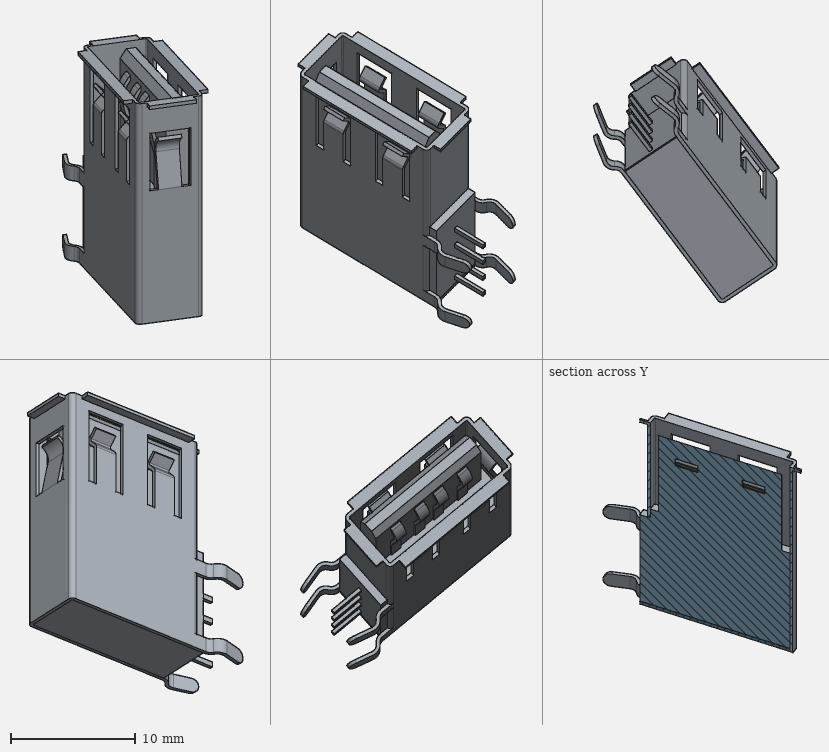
import cadquery as cq
import math

HEIGHT = 19.2
SHELL_X = 13.11
SHELL_Y = 5.7
SHEET = 0.3
CORNER_RADIUS = 0.42
INNER_CORNER_RADIUS = CORNER_RADIUS - SHEET
INNER_X = SHELL_X - 2 * SHEET
INNER_Y = SHELL_Y - 2 * SHEET

FLANGE_SPAN_X = 14.48
FLANGE_SPAN_Y = 7.2
LONG_FLANGE = 11.02
SHORT_FLANGE = 4.0

SLOT_BOTTOM = 11.52
SLOT_TOP = 18.07
SLOT_WIDTH = 3.5
ARM_WIDTH = 2.0
ARM_SPACING = 6.03
ARM_XS = (-ARM_SPACING / 2, ARM_SPACING / 2)
ARM_BEND_Z = 15.15
ARM_DEPTH = 0.77
ARM_BEND_ANGLE = math.radians(45)
ARM_BEND_RADIUS = 0.1
ARM_VALLEY_RADIUS = 0.15

END_SLOT_TOP = 16.51
CURL_RADIUS = 1.35
CURL_DEPTH = 0.96
CURL_Z = 14.78
CURL_TIP_TILT = math.radians(22)

TAB_HEIGHT = 1.29
UPPER_TAB_Z = 6.99
TAB_TIP_X = -10.96
TAB_BEND_X = -7.3
TAB_ROOT_X = -6.07
TAB_BEND_ANGLE = math.radians(57)
TAB_RETURN_ANGLE = math.radians(14.5)
TAB_INNER_BEND = 0.63
TAB_OUTER_BEND = 0.96

FLOOR_Z = 10.27
BLOCK_TOP = 9.33
BLOCK_FACE_X = -FLANGE_SPAN_X / 2
TONGUE_LENGTH = 11.14
TONGUE_Y = 1.9
TONGUE_TOP = 18.85
TONGUE_CHAMFER_Y = 0.54
TONGUE_CHAMFER_Z = 0.77
ARM_RECESS_DEPTH = 0.1
ARM_RECESS_HEIGHT = 0.65

CONTACT_WIDTH = 1.02
CONTACT_SHEET = 0.3
CONTACT_XS = (-3.51, -1.0, 1.0, 3.51)
CONTACT_TOP = 17.6
CONTACT_BULGE_Z = 15.94
CONTACT_BULGE_Y = -0.77
CONTACT_BULGE_RADIUS = 2.19
CONTACT_TIP_ANGLE = math.radians(42)
CONTACT_SLOPE_ANGLE = math.radians(14)
CONTACT_FOOT_Z = 13.13

PIN_TIP_X = -10.12
PIN_Y = 0.3
PIN_Z = 0.46
PIN_COUNT = 4
LOWEST_PIN_Z = 1.1
PIN_PITCH = 2.02


def box(x_range, y_range, z_range):
    """Axis-aligned block between the given limits."""
    sizes = [high - low for low, high in (x_range, y_range, z_range)]
    return cq.Workplane("XY").box(*sizes, centered=False).translate(
        (x_range[0], y_range[0], z_range[0])
    )


def centred(width, middle=0.0):
    """Limits of a width centred on a middle."""
    return (middle - width / 2, middle + width / 2)


def around(centre, radius, angle):
    """Point on a circle in a 2D plane."""
    return (centre[0] + radius * math.cos(angle), centre[1] + radius * math.sin(angle))


def tube():
    outer = cq.Workplane("XY").rect(SHELL_X, SHELL_Y).extrude(HEIGHT).edges("|Z").fillet(CORNER_RADIUS)
    inner = cq.Workplane("XY").rect(INNER_X, INNER_Y).extrude(HEIGHT).edges("|Z").fillet(INNER_CORNER_RADIUS)
    return outer.cut(inner)


def flanges():
    rim = (HEIGHT - SHEET, HEIGHT)
    along_y = box(centred(LONG_FLANGE), centred(FLANGE_SPAN_Y), rim)
    along_x = box(centred(FLANGE_SPAN_X), centred(SHORT_FLANGE), rim)
    mouth = box(centred(INNER_X), centred(INNER_Y), rim)
    return along_y.union(along_x).cut(mouth)


def bent_arm():
    """Arm with a 45-degree V bend, centred on X = 0, its outer face on Y = 0 and the inside toward +Y."""
    miter = SHEET * math.tan(ARM_BEND_ANGLE / 2)
    diagonal = SHEET * math.sqrt(2)
    half_diagonal = diagonal / 2
    valley_z = ARM_BEND_Z + ARM_DEPTH
    tip_z = valley_z + ARM_DEPTH
    outer_bend = (0, ARM_BEND_Z)
    outer_valley = (ARM_DEPTH, valley_z)
    inner_valley = (ARM_DEPTH + diagonal, valley_z)
    inner_bend = (SHEET, ARM_BEND_Z - miter)
    arm = (
        cq.Workplane("YZ")
        .polyline([
            (0, SLOT_BOTTOM),
            outer_bend,
            outer_valley,
            (0, tip_z),
            (half_diagonal, tip_z + half_diagonal),
            inner_valley,
            inner_bend,
            (SHEET, SLOT_BOTTOM),
        ])
        .close()
        .extrude(ARM_WIDTH / 2, both=True)
    )
    bends = [
        (outer_bend, ARM_BEND_RADIUS + SHEET),
        (inner_bend, ARM_BEND_RADIUS),
        (outer_valley, ARM_VALLEY_RADIUS),
        (inner_valley, ARM_VALLEY_RADIUS + SHEET),
    ]
    for (y, z), radius in bends:
        arm = arm.edges(cq.selectors.NearestToPointSelector((0, y, z))).fillet(radius)
    return arm


def curled_arm():
    """Arm leaning inward and curling back over the top, in the same position as the bent arm."""
    centre = (CURL_DEPTH - CURL_RADIUS, CURL_Z)
    hollow = CURL_RADIUS - SHEET
    tip_angle = math.pi / 2 - CURL_TIP_TILT
    lean = math.atan2(CURL_DEPTH - SHEET, CURL_Z - SLOT_BOTTOM)
    return (
        cq.Workplane("YZ")
        .moveTo(0, SLOT_BOTTOM)
        .lineTo(*around(centre, hollow, -lean))
        .threePointArc(around(centre, hollow, (tip_angle - lean) / 2), around(centre, hollow, tip_angle))
        .lineTo(*around(centre, CURL_RADIUS, tip_angle))
        .threePointArc(
            around(centre, CURL_RADIUS, (tip_angle - lean) / 2), around(centre, CURL_RADIUS, -lean)
        )
        .lineTo(SHEET, SLOT_BOTTOM)
        .close()
        .extrude(ARM_WIDTH / 2, both=True)
    )


def slot(top):
    """Window around an arm, in the same position as the arm."""
    return box(centred(SLOT_WIDTH), (0, SHEET), (SLOT_BOTTOM, top))


def on_walls(long_wall_feature, end_wall_feature):
    """Copies of a feature on each place of an arm: two in each long wall, one in the +X wall."""
    copies = []
    for x in ARM_XS:
        front = long_wall_feature.translate((x, -SHELL_Y / 2, 0))
        copies += [front, front.mirror("XZ")]
    copies.append(end_wall_feature.translate((0, -SHELL_X / 2, 0)).rotate((0, 0, 0), (0, 0, 1), 90))
    return copies


def solder_tab():
    """Lower tab on the -Y wall: straight root, S bend outward, then a return to a rounded tip."""
    wall_y = SHELL_Y / 2
    first = (TAB_BEND_X, wall_y + TAB_INNER_BEND)
    reach = TAB_INNER_BEND + TAB_OUTER_BEND
    first_end = -math.pi / 2 - TAB_BEND_ANGLE
    first_middle = -math.pi / 2 - TAB_BEND_ANGLE / 2
    second = around(first, reach, first_end)
    second_start = math.pi / 2 - TAB_BEND_ANGLE
    second_end = math.pi / 2 + TAB_RETURN_ANGLE
    second_middle = (second_start + second_end) / 2
    inner_bend = TAB_INNER_BEND + SHEET
    outer_bend = TAB_OUTER_BEND - SHEET

    def tip(radius):
        x, y = around(second, radius, second_end)
        return (TAB_TIP_X, y - (x - TAB_TIP_X) * math.tan(TAB_RETURN_ANGLE))

    strip = (
        cq.Workplane("XY")
        .moveTo(TAB_ROOT_X, wall_y)
        .lineTo(TAB_BEND_X, wall_y)
        .threePointArc(
            around(first, TAB_INNER_BEND, first_middle), around(first, TAB_INNER_BEND, first_end)
        )
        .threePointArc(
            around(second, TAB_OUTER_BEND, second_middle), around(second, TAB_OUTER_BEND, second_end)
        )
        .lineTo(*tip(TAB_OUTER_BEND))
        .lineTo(*tip(outer_bend))
        .lineTo(*around(second, outer_bend, second_end))
        .threePointArc(
            around(second, outer_bend, second_middle), around(second, outer_bend, second_start)
        )
        .threePointArc(around(first, inner_bend, first_middle), (TAB_BEND_X, wall_y - SHEET))
        .lineTo(TAB_ROOT_X, wall_y - SHEET)
        .close()
        .extrude(TAB_HEIGHT)
        .mirror("XZ")
    )
    end_radius = TAB_HEIGHT / 2
    end_x = TAB_TIP_X + end_radius
    straight = box((end_x, TAB_ROOT_X), (-FLANGE_SPAN_Y, 0), (0, TAB_HEIGHT))
    rounded_end = cq.Workplane("XZ").center(end_x, end_radius).circle(end_radius).extrude(FLANGE_SPAN_Y)
    return strip.intersect(straight.union(rounded_end))


def build_shell():
    shell = tube().union(flanges())
    for window in on_walls(slot(SLOT_TOP), slot(END_SLOT_TOP)):
        shell = shell.cut(window)
    for arm in on_walls(bent_arm(), curled_arm()):
        shell = shell.union(arm)
    opening_end_x = -INNER_X / 2 + INNER_CORNER_RADIUS
    shell = shell.cut(box((BLOCK_FACE_X, opening_end_x), centred(INNER_Y), (0, BLOCK_TOP)))
    for z in (0, UPPER_TAB_Z):
        tab = solder_tab().translate((0, 0, z))
        shell = shell.union(tab).union(tab.mirror("XZ"))
    return shell


def tongue():
    """Chamfered tongue, recessed on +Y where the bends of the spring arms reach into it."""
    blade = (
        box(centred(TONGUE_LENGTH), (0, TONGUE_Y), (FLOOR_Z, TONGUE_TOP))
        .faces(">Z")
        .edges("|X")
        .chamfer(TONGUE_CHAMFER_Z, TONGUE_CHAMFER_Y)
    )
    recess_y = (TONGUE_Y - ARM_RECESS_DEPTH, TONGUE_Y)
    recess_z = centred(ARM_RECESS_HEIGHT, ARM_BEND_Z + ARM_DEPTH)
    for x in ARM_XS:
        blade = blade.cut(box(centred(ARM_WIDTH, x), recess_y, recess_z))
    return blade


def contact(x):
    """Strip on the tongue: bevelled tip, bulge that stands clear, slope, then a flat foot."""
    centre = (CONTACT_BULGE_Y + CONTACT_BULGE_RADIUS, CONTACT_BULGE_Z)
    slope = math.tan(CONTACT_SLOPE_ANGLE)
    bulge_end = math.pi + CONTACT_SLOPE_ANGLE
    bulge_bottom = around(centre, CONTACT_BULGE_RADIUS, bulge_end)
    foot_y = bulge_bottom[0] + (bulge_bottom[1] - CONTACT_FOOT_Z) * slope
    strip = (
        cq.Workplane("YZ")
        .moveTo(0, CONTACT_TOP)
        .lineTo(*around(centre, CONTACT_BULGE_RADIUS, math.pi - CONTACT_TIP_ANGLE))
        .threePointArc((CONTACT_BULGE_Y, CONTACT_BULGE_Z), bulge_bottom)
        .lineTo(foot_y, CONTACT_FOOT_Z)
        .lineTo(foot_y, FLOOR_Z)
        .lineTo(0, FLOOR_Z)
        .close()
        .extrude(CONTACT_WIDTH / 2, both=True)
    )
    gap_radius = CONTACT_BULGE_RADIUS - CONTACT_SHEET
    gap_bend = around(centre, gap_radius, bulge_end)
    gap = (
        cq.Workplane("YZ")
        .moveTo(0, centre[1] + math.sqrt(gap_radius**2 - centre[0] ** 2))
        .threePointArc((centre[0] - gap_radius, centre[1]), gap_bend)
        .lineTo(0, gap_bend[1] + gap_bend[0] / slope)
        .close()
        .extrude(CONTACT_WIDTH / 2, both=True)
    )
    return strip.cut(gap).translate((x, 0, 0))


def build_insulator():
    core = box(centred(INNER_X), centred(INNER_Y), (SHEET, FLOOR_Z)).edges("|Z").fillet(INNER_CORNER_RADIUS)
    block = box((BLOCK_FACE_X, 0), centred(INNER_Y), (SHEET, BLOCK_TOP))
    insulator = core.union(block).union(tongue())
    for x in CONTACT_XS:
        insulator = insulator.union(contact(x))
    for i in range(PIN_COUNT):
        pin_z = LOWEST_PIN_Z + i * PIN_PITCH
        insulator = insulator.union(box((PIN_TIP_X, BLOCK_FACE_X), centred(PIN_Y), centred(PIN_Z, pin_z)))
    return insulator


def build_bottom_cover():
    return (
        box((BLOCK_FACE_X, INNER_X / 2), centred(INNER_Y), (0, SHEET))
        .edges("|Z and >X")
        .fillet(INNER_CORNER_RADIUS)
    )


shell = build_shell()
insulator = build_insulator()
bottom_cover = build_bottom_cover()

result = cq.Compound.makeCompound([shell.val(), insulator.val(), bottom_cover.val()])